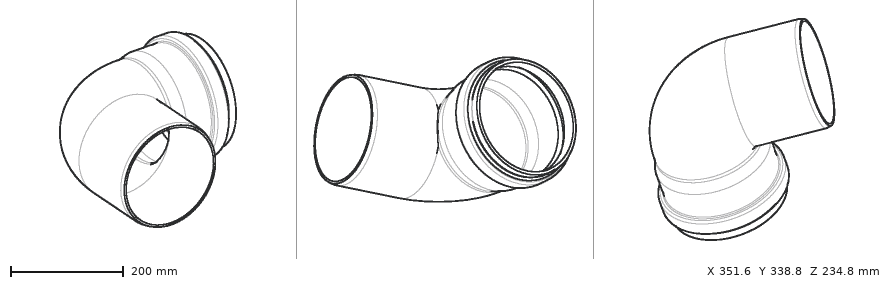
import cadquery as cq
import math


PIPE_DIA = 200.5
PIPE_BORE = 187.7
BEND_RADIUS = 94.2
BEND_ANGLE = 87.5

SPIGOT_LENGTH = 140.0
TIP_CHAMFER_LENGTH = 8.5
TIP_CHAMFER_DEPTH = 2.0

SOCKET_DIA = 212.5
SOCKET_BORE = 201.5
MOUTH_DIA = 213.7
MOUTH_BORE = 201.7
BEAD_DIA = 234.8
GROOVE_DIA = 223.0
FLARE_ANGLE = 36.0

STUB_LENGTH = 7.0
TAPER_LENGTH = 22.5
NECK_LENGTH = 56.2
BEAD_LENGTH = 31.3
FLARE_LENGTH = 6.0
MOUTH_LENGTH = 15.8

BEAD_FILLET = 4.2
NECK_FILLET = 2.0
MOUTH_FILLET = 1.8

taper_top_y = STUB_LENGTH + TAPER_LENGTH
bead_bottom_y = taper_top_y + NECK_LENGTH
bead_top_y = bead_bottom_y + BEAD_LENGTH
flare_top_y = bead_top_y + FLARE_LENGTH
mouth_y = flare_top_y + MOUTH_LENGTH
flare_base_dia = MOUTH_DIA + 2 * FLARE_LENGTH * math.tan(math.radians(FLARE_ANGLE))
bead_wall = (BEAD_DIA - GROOVE_DIA) / 2

bend_turn = math.radians(BEND_ANGLE)
spigot_plane = cq.Plane(
    origin=(BEND_RADIUS * (1 - math.cos(bend_turn)), -BEND_RADIUS * math.sin(bend_turn), 0),
    xDir=(0, 0, 1),
    normal=(math.sin(bend_turn), -math.cos(bend_turn), 0),
)


def revolve_about_socket_axis(steps):
    """Solid of revolution through (diameter, y) steps, closed along the Y axis."""
    outline = [(0, steps[0][1])]
    outline += [(diameter / 2, y) for diameter, y in steps]
    outline.append((0, steps[-1][1]))
    return cq.Workplane("XY").polyline(outline).close().revolve(360, (0, 0), (0, 1))


def fillet_circle(body, diameter, y, fillet_radius):
    """Fillet the circular edge of the given diameter at height y."""
    tolerance = 0.005
    circles = [
        edge
        for edge in body.edges("%CIRCLE").vals()
        if abs(edge.Center().y - y) < tolerance and abs(2 * edge.radius() - diameter) < tolerance
    ]
    return body.newObject(circles).fillet(fillet_radius)


def socket_outside():
    socket = revolve_about_socket_axis([
        (PIPE_DIA, 0),
        (PIPE_DIA, STUB_LENGTH),
        (SOCKET_DIA, taper_top_y),
        (SOCKET_DIA, bead_bottom_y),
        (BEAD_DIA, bead_bottom_y),
        (BEAD_DIA, bead_top_y),
        (flare_base_dia, bead_top_y),
        (MOUTH_DIA, flare_top_y),
        (MOUTH_DIA, mouth_y),
    ])
    socket = fillet_circle(socket, BEAD_DIA, bead_top_y, BEAD_FILLET)
    socket = fillet_circle(socket, BEAD_DIA, bead_bottom_y, BEAD_FILLET)
    socket = fillet_circle(socket, SOCKET_DIA, bead_bottom_y, NECK_FILLET)
    return fillet_circle(socket, MOUTH_DIA, flare_top_y, MOUTH_FILLET)


def socket_inside():
    groove_bottom_y = bead_bottom_y + bead_wall
    groove_top_y = bead_top_y - bead_wall
    return revolve_about_socket_axis([
        (PIPE_BORE, 0),
        (PIPE_BORE, STUB_LENGTH),
        (SOCKET_BORE, taper_top_y),
        (SOCKET_BORE, groove_bottom_y),
        (GROOVE_DIA, groove_bottom_y),
        (GROOVE_DIA, groove_top_y),
        (MOUTH_BORE, groove_top_y),
        (MOUTH_BORE, mouth_y),
    ])


def bend(diameter):
    """Swept bend; a disc reaching past the bend's axis is cut off straight at the axis."""
    radius = diameter / 2
    section = cq.Workplane("XZ")
    if radius > BEND_RADIUS:
        half_chord = math.sqrt(radius**2 - BEND_RADIUS**2)
        section = (
            section.moveTo(BEND_RADIUS, half_chord)
            .threePointArc((-radius, 0), (BEND_RADIUS, -half_chord))
            .close()
        )
    else:
        section = section.circle(radius)
    return section.revolve(BEND_ANGLE, (BEND_RADIUS, -3.5), (BEND_RADIUS, 3.5))


def spigot(diameter):
    return cq.Workplane(spigot_plane).circle(diameter / 2).extrude(SPIGOT_LENGTH)


def spigot_outside():
    tip = cq.selectors.DirectionNthSelector(spigot_plane.zDir, -1)
    return spigot(PIPE_DIA).faces(tip).chamfer(TIP_CHAMFER_LENGTH, TIP_CHAMFER_DEPTH)


def make_elbow():
    outside = socket_outside().union(bend(PIPE_DIA)).union(spigot_outside())
    return outside.cut(socket_inside()).cut(bend(PIPE_BORE)).cut(spigot(PIPE_BORE))


elbow = make_elbow()

result = cq.Compound.makeCompound([elbow.solids().val()])